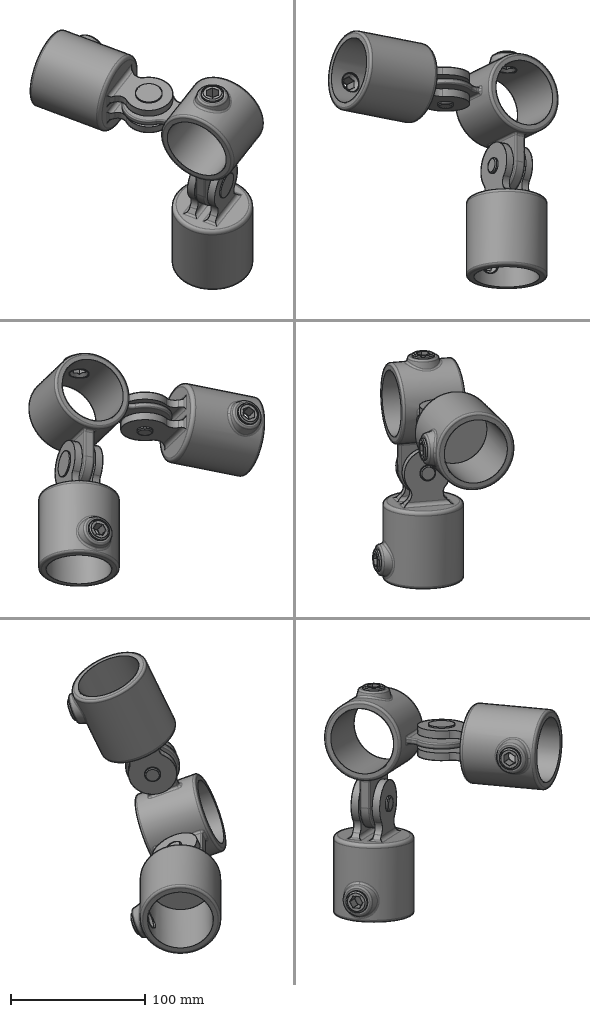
import cadquery as cq
import math


ring_radius = 30.5
ring_bore_radius = 25.0
ring_length = 49.0
rim_fillet = 2.0

socket_radius = 30.0
socket_bore_radius = 24.5
socket_length = 60.0
socket_floor = 6.0
shoulder_fillet = 3.0
boss_from_mouth = 17.0

pivot_to_socket = 25.0
lug_head_radius = 18.0
lug_neck_half_width = 12.2
lug_neck_fillet = 7.0
lug_thickness = 6.0
fork_gap = 11.0
lug_root_fillet = 3.0

side_pivot = 54.0
side_tongue_radius = 20.0
side_tongue_thickness = 4.4
side_neck_half_width = 11.9
side_neck_fillet = 8.2
lower_pivot = 52.5
lower_tongue_radius = 19.0
lower_tongue_thickness = 8.0
tongue_edge_fillet = 1.0
tongue_root_fillet = 2.0

pin_radius = 6.0
pin_head_radius = 10.0
pin_head_height = 1.0
pin_tail = 2.1
pin_tail_chamfer = 0.9

boss_height = 34.9
boss_top_radius = 11.3
boss_draft = 15.0
boss_top_fillet = 1.7
boss_root_fillet = 2.0
screw_radius = 8.4
ring_screw_top = 37.0
socket_screw_top = 37.2
screw_length = 12.5
screw_point_radius = 7.5
screw_point_length = 1.7
screw_chamfer_width = 1.4
screw_chamfer_height = 0.7
hex_across_flats = 8.9
cup_radius = 7.0
cup_depth = cup_radius

embed = 2.6
margin = 0.2
root_band = 1.2

fork_half_width = fork_gap / 2 + lug_thickness
socket_mouth_x = -pivot_to_socket - socket_length
boss_x = socket_mouth_x + boss_from_mouth


def revolved(points):
    """Solid of revolution about Z from (radius, height) corner points."""
    return cq.Workplane("XZ").polyline(points).close().revolve(360, (0, 0, 0), (0, 1, 0))


def boss_cone(start_height):
    """Tapered boss along +Z from start_height to its rounded top."""
    base_radius = boss_top_radius + (boss_height - start_height) * math.tan(math.radians(boss_draft))
    cone = revolved([
        (0, start_height),
        (base_radius, start_height),
        (boss_top_radius, boss_height),
        (0, boss_height),
    ])
    return cone.faces(">Z").edges().fillet(boss_top_fillet)


def screw_hole(screw_top):
    """Stepped cutter along +Z for the screw hole of a boss."""
    seat = screw_top - screw_length + screw_point_length
    point_hole = cq.Workplane("XY").circle(screw_point_radius).extrude(seat)
    thread_hole = cq.Workplane("XY").workplane(offset=seat).circle(screw_radius).extrude(screw_length)
    return point_hole.union(thread_hole)


def make_screw(top):
    """Grub screw along +Z: chamfered top, reduced cup point, hexagon from end to end."""
    bottom = top - screw_length
    seat = bottom + screw_point_length
    body = revolved([
        (0, bottom + cup_depth),
        (cup_radius, bottom),
        (screw_point_radius, bottom),
        (screw_point_radius, seat),
        (screw_radius, seat),
        (screw_radius, top - screw_chamfer_height),
        (screw_radius - screw_chamfer_width, top),
        (0, top),
    ])
    hex_across_corners = hex_across_flats / math.cos(math.pi / 6)
    hexagon = cq.Workplane("XY").workplane(offset=bottom).polygon(6, hex_across_corners)
    return body.cut(hexagon.extrude(screw_length))


def toward_y(shape):
    """Turn a shape that points along +Z so that it points along +Y."""
    return shape.rotate((0, 0, 0), (1, 0, 0), -90)


def lug_outline():
    """Lug outline: round head about the pivot, filleted neck, 45 degree flare to the socket."""
    diagonal = math.sqrt(0.5)
    fillet_y = lug_neck_half_width + lug_neck_fillet
    fillet_x = -math.sqrt((lug_head_radius + lug_neck_fillet) ** 2 - fillet_y ** 2)
    head_share = lug_head_radius / (lug_head_radius + lug_neck_fillet)
    head_x = fillet_x * head_share
    head_y = fillet_y * head_share
    flare_x = fillet_x - lug_neck_fillet * diagonal
    flare_y = fillet_y - lug_neck_fillet * diagonal
    root_y = flare_y + flare_x + pivot_to_socket
    return (
        cq.Workplane("XY")
        .moveTo(-pivot_to_socket, root_y)
        .lineTo(flare_x, flare_y)
        .threePointArc((fillet_x, lug_neck_half_width), (head_x, head_y))
        .threePointArc((lug_head_radius, 0), (head_x, -head_y))
        .threePointArc((fillet_x, -lug_neck_half_width), (flare_x, -flare_y))
        .lineTo(-pivot_to_socket, -root_y)
        .close()
    )


def make_socket():
    """Closed socket with a screw boss toward +Y and a two-lug fork, in the hinge frame."""
    barrel = (
        cq.Workplane("YZ")
        .workplane(offset=socket_mouth_x)
        .circle(socket_radius)
        .extrude(socket_length)
        .faces("<X").edges().fillet(rim_fillet)
        .faces(">X").edges().fillet(shoulder_fillet)
    )

    boss = toward_y(boss_cone(socket_bore_radius - embed)).translate((boss_x, 0, 0))
    socket = barrel.union(boss)
    boss_root = cq.selectors.BoxSelector(
        (socket_mouth_x + rim_fillet, socket_bore_radius, -socket_radius),
        (-pivot_to_socket - shoulder_fillet - margin, socket_radius + margin, socket_radius),
    )
    socket = socket.edges(boss_root).edges("not %CIRCLE").edges("not %LINE").fillet(boss_root_fillet)

    for bottom in (fork_gap / 2, -fork_half_width):
        socket = socket.union(lug_outline().extrude(lug_thickness).translate((0, 0, bottom)))
    lug_root = cq.selectors.BoxSelector(
        (-pivot_to_socket - margin, -socket_radius, -socket_radius),
        (-pivot_to_socket + margin, socket_radius, socket_radius),
    )
    socket = socket.edges(lug_root).edges("%LINE").fillet(lug_root_fillet)

    bore = (
        cq.Workplane("YZ")
        .workplane(offset=socket_mouth_x)
        .circle(socket_bore_radius)
        .extrude(socket_length - socket_floor)
    )
    pin_hole = cq.Workplane("XY").circle(pin_radius).extrude(2 * fork_half_width, both=True)
    boss_hole = toward_y(screw_hole(socket_screw_top)).translate((boss_x, 0, 0))
    return socket.cut(bore).cut(boss_hole).cut(pin_hole)


def make_pin():
    """Pin through the fork with its flat head on +Z, in the hinge frame."""
    tail_end = -fork_half_width - pin_tail
    return revolved([
        (0, tail_end),
        (pin_radius - pin_tail_chamfer, tail_end),
        (pin_radius, tail_end + pin_tail_chamfer),
        (pin_radius, fork_half_width),
        (pin_head_radius, fork_half_width),
        (pin_head_radius, fork_half_width + pin_head_height),
        (0, fork_half_width + pin_head_height),
    ])


def side_tongue():
    """Tongue toward -X: round head about the side pivot on a filleted neck."""
    root_x = embed - ring_bore_radius
    fillet_y = side_neck_half_width + side_neck_fillet
    reach = side_tongue_radius + side_neck_fillet
    fillet_x = math.sqrt(reach ** 2 - fillet_y ** 2)
    head_x = fillet_x * side_tongue_radius / reach - side_pivot
    head_y = fillet_y * side_tongue_radius / reach
    neck_x = fillet_x - side_pivot
    fillet_middle = math.atan2(-fillet_y, -fillet_x) / 2 - math.pi / 4
    middle_x = neck_x + side_neck_fillet * math.cos(fillet_middle)
    middle_y = fillet_y + side_neck_fillet * math.sin(fillet_middle)
    return (
        cq.Workplane("XY", origin=(0, 0, -side_tongue_thickness / 2))
        .moveTo(root_x, side_neck_half_width)
        .lineTo(neck_x, side_neck_half_width)
        .threePointArc((middle_x, middle_y), (head_x, head_y))
        .threePointArc((-side_pivot - side_tongue_radius, 0), (head_x, -head_y))
        .threePointArc((middle_x, -middle_y), (neck_x, -side_neck_half_width))
        .lineTo(root_x, -side_neck_half_width)
        .close()
        .extrude(side_tongue_thickness)
        .faces("|Z").edges("not >X").fillet(tongue_edge_fillet)
    )


def lower_tongue():
    """Straight tongue toward -Z with a round end about the lower pivot."""
    root_z = embed - ring_bore_radius
    return (
        cq.Workplane("YZ", origin=(-lower_tongue_thickness / 2, 0, 0))
        .moveTo(-lower_tongue_radius, root_z)
        .lineTo(-lower_tongue_radius, -lower_pivot)
        .threePointArc((0, -lower_pivot - lower_tongue_radius), (lower_tongue_radius, -lower_pivot))
        .lineTo(lower_tongue_radius, root_z)
        .close()
        .extrude(lower_tongue_thickness)
        .faces("|X").edges("not >Z").fillet(tongue_edge_fillet)
    )


def make_ring():
    """Ring with its screw boss on top and its two tongues."""
    ring = (
        cq.Workplane("XZ", origin=(0, ring_length / 2, 0))
        .circle(ring_radius)
        .extrude(ring_length)
        .faces("|Y").edges().fillet(rim_fillet)
    )
    ring = ring.union(boss_cone(ring_bore_radius - embed))
    near = ring_radius - root_band
    far = ring_radius + margin
    half_clear = ring_length / 2 - rim_fillet - margin
    boss_root = cq.selectors.BoxSelector(
        (-boss_top_radius, -half_clear, ring_bore_radius),
        (boss_top_radius, half_clear, far),
    )
    ring = ring.edges(boss_root).edges("not %LINE").fillet(boss_root_fillet)

    ring = ring.union(side_tongue())
    side_root = cq.selectors.BoxSelector(
        (-far, -half_clear, -side_tongue_thickness),
        (-near, half_clear, side_tongue_thickness),
    )
    ring = ring.edges(side_root).fillet(tongue_root_fillet)
    ring = ring.union(lower_tongue())
    lower_root = cq.selectors.BoxSelector(
        (-lower_tongue_thickness, -half_clear, -far),
        (lower_tongue_thickness, half_clear, -near),
    )
    ring = ring.edges(lower_root).fillet(tongue_root_fillet)

    bore = cq.Workplane("XZ").circle(ring_bore_radius).extrude(ring_length, both=True)
    side_hole = cq.Workplane("XY").center(-side_pivot, 0).circle(pin_radius)
    lower_hole = cq.Workplane("YZ").center(0, -lower_pivot).circle(pin_radius)
    return (
        ring.cut(bore)
        .cut(screw_hole(ring_screw_top))
        .cut(side_hole.extrude(side_tongue_thickness, both=True))
        .cut(lower_hole.extrude(lower_tongue_thickness, both=True))
    )


def at_side_hinge(shape):
    """Move a hinge-frame shape to the side tongue."""
    return shape.translate((-side_pivot, 0, 0))


def at_lower_hinge(shape):
    """Turn a hinge-frame shape to point down and move it to the lower tongue."""
    return shape.rotate((0, 0, 0), (0, 1, 0), -90).translate((0, 0, -lower_pivot))


ring = make_ring()
socket = make_socket()
pin = make_pin()
flipped_pin = pin.rotate((0, 0, 0), (1, 0, 0), 180)

turned_screw = make_screw(socket_screw_top).rotate((0, 0, 0), (0, 0, 1), 90)
socket_screw = toward_y(turned_screw).translate((boss_x, 0, 0))

sockets = [place(socket) for place in (at_side_hinge, at_lower_hinge)]
pins = [at_side_hinge(pin), at_lower_hinge(flipped_pin)]
screws = [make_screw(ring_screw_top)]
screws += [place(socket_screw) for place in (at_side_hinge, at_lower_hinge)]

result = cq.Compound.makeCompound([body.val() for body in [ring, *sockets, *pins, *screws]])